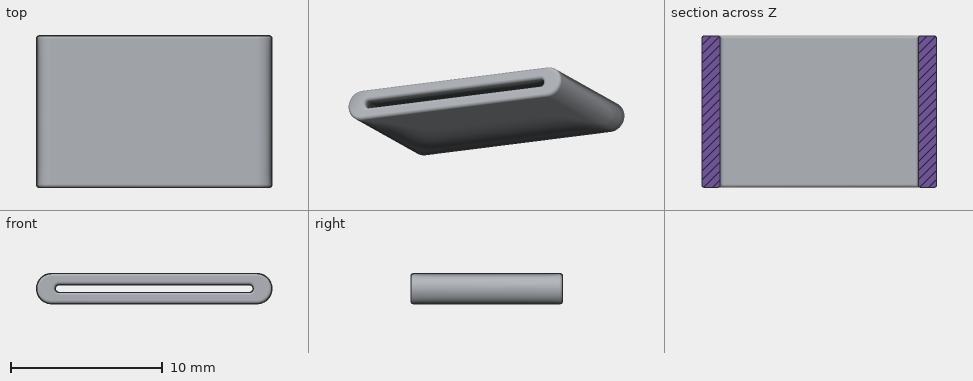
import cadquery as cq

width = 15.5
depth = 10.0
height = 2.0

slot_width = 13.0
slot_height = 0.5

edge_radius = 0.2


def obround_bar(bar_width, bar_height):
    """Bar along Y with a full-round profile, centred on the origin."""
    return (
        cq.Workplane("XZ")
        .slot2D(bar_width, bar_height)
        .extrude(depth / 2, both=True)
    )


sleeve = obround_bar(width, height).cut(obround_bar(slot_width, slot_height))

result = sleeve.faces("<Y or >Y").edges().fillet(edge_radius)